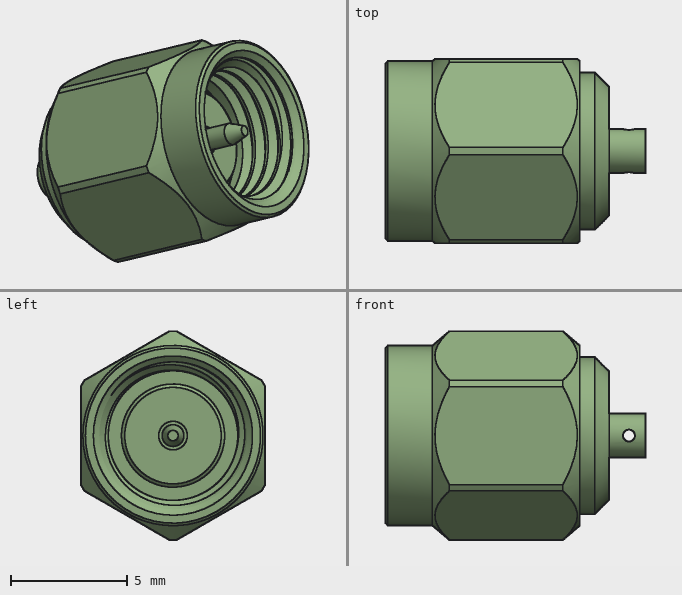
import cadquery as cq
import math


overall_length = 11.2
hex_start = 2.03
hex_end = 8.37
collar_chamfer_start = 9.02
tail_start = 9.63

hex_across_flats = 7.94
hex_corner_diameter = 8.99
sleeve_diameter = 7.76
sleeve_chamfer = 0.11
hex_chamfer_length = 0.73
collar_diameter = 6.78
collar_chamfer = tail_start - collar_chamfer_start
tail_diameter = 1.9
cross_hole_diameter = 0.5
cross_hole_x = 10.48

socket_depth = 3.36
mouth_radius = 3.43
thread_major_radius = 6.35 / 2
thread_minor_radius = 2.79
lead_in_end = 0.78
thread_pitch = 0.7
thread_crest_width = 0.15
thread_flank_angle = 30.0
thread_first_groove_x = -0.06
thread_turns = 4.3
cutter_overlap = 0.06

insulator_diameter = 4.45
insulator_chamfer = 0.15
insulator_face_x = 2.62
pin_recess_diameter = 1.23
pin_recess_depth = 0.11
pin_diameter = 0.94
pin_tip_diameter = 0.45
pin_tip_x = 0.52
pin_cone_end = 1.27


def revolve_profile(points):
    """Turn a closed outline of (x, radius) points about the X axis."""
    return cq.Workplane("XY").polyline(points).close().revolve(360, (0, 0, 0), (1, 0, 0))


def cylinder(diameter, start, end):
    return cq.Workplane("YZ", origin=(start, 0, 0)).circle(diameter / 2).extrude(end - start)


def hex_nut():
    """Hexagon with flats facing +Y and -Y, its corners turned round and chamfered at both ends."""
    corner_to_corner = hex_across_flats / math.cos(math.radians(30))
    prism = (
        cq.Workplane("YZ", origin=(hex_start, 0, 0))
        .transformed(rotate=(0, 0, 90))
        .polygon(6, corner_to_corner)
        .extrude(hex_end - hex_start)
    )
    end_radius = sleeve_diameter / 2
    corner_radius = hex_corner_diameter / 2
    envelope = revolve_profile([
        (hex_start, 0),
        (hex_start, end_radius),
        (hex_start + hex_chamfer_length, corner_radius),
        (hex_end - hex_chamfer_length, corner_radius),
        (hex_end, end_radius),
        (hex_end, 0),
    ])
    return prism.intersect(envelope)


def outer_body():
    sleeve = cylinder(sleeve_diameter, 0, hex_start).faces("<X").chamfer(sleeve_chamfer)
    collar = cylinder(collar_diameter, hex_end, tail_start).faces(">X").chamfer(collar_chamfer)
    tail = cylinder(tail_diameter, tail_start, overall_length)
    return hex_nut().union(sleeve).union(collar).union(tail)


def socket():
    """Bore at the thread's minor radius with a 45 degree mouth chamfer and a slimmer lead-in cone."""
    return revolve_profile([
        (0, 0),
        (0, mouth_radius),
        (mouth_radius - thread_major_radius, thread_major_radius),
        (lead_in_end, thread_minor_radius),
        (socket_depth, thread_minor_radius),
        (socket_depth, 0),
    ])


def thread_groove():
    """Right-handed helical V groove with a flat root, swept along the X axis."""
    slope = math.tan(math.radians(thread_flank_angle))
    inner_radius = thread_minor_radius - cutter_overlap
    opening_half = (thread_pitch - thread_crest_width) / 2
    root_half = opening_half - (thread_major_radius - thread_minor_radius) * slope
    inner_half = opening_half + cutter_overlap * slope
    path = cq.Wire.makeHelix(thread_pitch, thread_pitch * thread_turns, thread_minor_radius)
    groove = (
        cq.Workplane("XZ")
        .polyline([
            (inner_radius, -inner_half),
            (thread_major_radius, -root_half),
            (thread_major_radius, root_half),
            (inner_radius, inner_half),
        ])
        .close()
        .sweep(cq.Workplane(path), isFrenet=True)
    )
    return (
        groove.rotate((0, 0, 0), (0, 1, 0), 90)
        .translate((thread_first_groove_x, 0, 0))
    )


def centre_contact():
    """Chamfered insulator with a shallow recess around the tapered pin."""
    insulator = cylinder(insulator_diameter, insulator_face_x, socket_depth)
    insulator = insulator.faces("<X").chamfer(insulator_chamfer)
    recess_floor = insulator_face_x + pin_recess_depth
    recess = cylinder(pin_recess_diameter, insulator_face_x, recess_floor)
    pin = revolve_profile([
        (pin_tip_x, 0),
        (pin_tip_x, pin_tip_diameter / 2),
        (pin_cone_end, pin_diameter / 2),
        (recess_floor, pin_diameter / 2),
        (recess_floor, 0),
    ])
    return insulator.cut(recess).union(pin)


def cross_hole():
    return (
        cq.Workplane("XZ", origin=(cross_hole_x, 0, 0))
        .circle(cross_hole_diameter / 2)
        .extrude(tail_diameter, both=True)
    )


result = (
    outer_body()
    .cut(socket())
    .cut(thread_groove())
    .union(centre_contact())
    .cut(cross_hole())
)